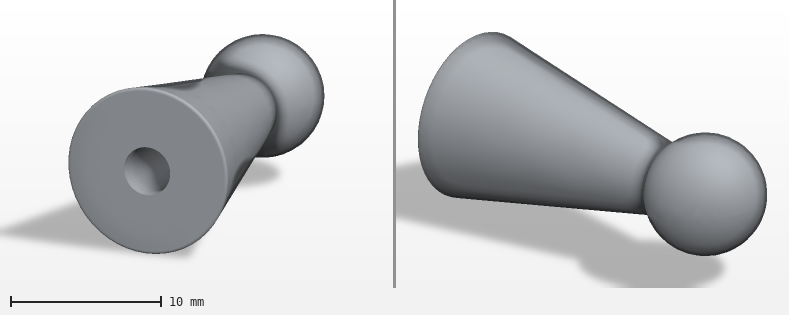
import cadquery as cq
import math

total_length = 24.66
base_diameter = 11.5
ball_diameter = 8.23
neck_diameter = 4.8
base_fillet = 0.2

hole_diameter = 3.3
hole_depth = 10.0
drill_point_angle = 118.0

base_radius = base_diameter / 2
ball_radius = ball_diameter / 2
neck_radius = neck_diameter / 2
ball_center = total_length - ball_radius
neck_position = ball_center - math.sqrt(ball_radius**2 - neck_radius**2)


def make_body():
    """Tapered shank and ball head, revolved about the Y axis."""
    ball_side = (ball_radius, ball_center)
    profile = (
        cq.Workplane("XY")
        .lineTo(base_radius, 0)
        .lineTo(neck_radius, neck_position)
        .threePointArc(ball_side, (0, total_length))
        .close()
    )
    body = profile.revolve(360, (0, 0, 0), (0, 1, 0))
    return body.faces("<Y").edges().fillet(base_fillet)


def make_hole():
    """Drilled hole with a conical bottom, revolved about the Y axis."""
    hole_radius = hole_diameter / 2
    point_length = hole_radius / math.tan(math.radians(drill_point_angle / 2))
    return (
        cq.Workplane("XY")
        .lineTo(hole_radius, 0)
        .lineTo(hole_radius, hole_depth)
        .lineTo(0, hole_depth + point_length)
        .close()
        .revolve(360, (0, 0, 0), (0, 1, 0))
    )


result = make_body().cut(make_hole())